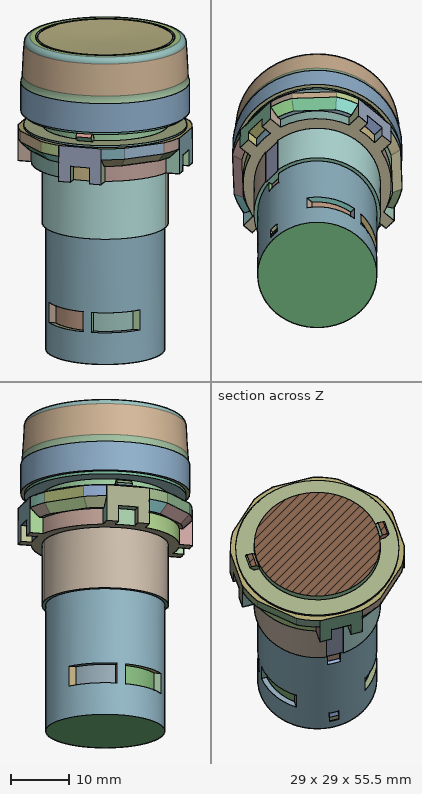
import cadquery as cq
import math

total_height = 55.5
head_diameter = 29.0

barrel_diameter = 20.5
thread_diameter = 21.7
thread_bottom = 22.5

nut_bottom = 33.3
nut_top = 39.7
nut_hub_diameter = 25.4
nut_corner_diameter = 29.85
nut_diagonal_flats = 28.85
nut_rim_height = 1.95
nut_bevel = 1.6
washer_diameter = 28.0
washer_thickness = 0.35
lug_width = 7.6
lug_slot_width = 3.45
lug_slot_height = 2.85

rim_bottom = 41.95
rim_diameter = 27.8
band_bottom = 42.45
band_top = 47.6
bezel_bottom = 48.9
bezel_bottom_radius = 14.25
bezel_top_radius = 13.95
flare_sag = 0.085
bezel_bulge = 0.05
top_edge_radius = 1.0

groove_outer_diameter = 24.0
groove_width = 0.4
groove_depth = 0.2
lens_dish_depth = 0.45

prong_width = 2.7
prong_thickness = 1.05
prong_length = 3.35
prong_tilt = 50.0
prong_tip_radius = 12.05
prong_tip_height = 41.25

keyway_width = 3.0
keyway_floor_radius = 10.6
latch_slot_width = 2.35
latch_slot_bottom = 19.3
latch_slot_floor_radius = 9.55
window_bottom = 5.65
window_height = 3.55
window_floor_diameter = 18.6
window_side_offset = 6.15
window_half_gap = 0.8
notch_width = 1.65
notch_bottom = 1.95
notch_step = 3.0
notch_top = 4.45
notch_step_radius = 10.1
notch_floor_radius = 9.55


def cylinder(diameter, bottom, top):
    return cq.Workplane("XY").workplane(offset=bottom).circle(diameter / 2).extrude(top - bottom)


def box(x_range, y_range, z_range):
    """Axis-aligned box given by its limits along each axis."""
    (x0, x1), (y0, y1), (z0, z1) = x_range, y_range, z_range
    return cq.Workplane("XY").box(x1 - x0, y1 - y0, z1 - z0, centered=False).translate((x0, y0, z0))


def make_head():
    """Turned head with its neck passing down into the nut."""
    neck_radius = thread_diameter / 2
    band_radius = head_diameter / 2
    rim_radius = rim_diameter / 2
    groove_outer = groove_outer_diameter / 2
    groove_inner = groove_outer - groove_width
    bezel_top = total_height - top_edge_radius
    top_land_radius = bezel_top_radius - top_edge_radius
    edge_offset = top_edge_radius * math.sin(math.pi / 4)
    flare_middle = ((band_radius + bezel_bottom_radius) / 2 - flare_sag, (band_top + bezel_bottom) / 2)
    bezel_middle = (
        (bezel_bottom_radius + bezel_top_radius) / 2 + bezel_bulge,
        (bezel_bottom + bezel_top) / 2,
    )
    edge_middle = (top_land_radius + edge_offset, bezel_top + edge_offset)
    return (
        cq.Workplane("XZ")
        .moveTo(0, nut_bottom)
        .lineTo(neck_radius, nut_bottom)
        .lineTo(neck_radius, rim_bottom)
        .lineTo(rim_radius, rim_bottom)
        .lineTo(rim_radius, band_bottom)
        .lineTo(band_radius, band_bottom)
        .lineTo(band_radius, band_top)
        .threePointArc(flare_middle, (bezel_bottom_radius, bezel_bottom))
        .threePointArc(bezel_middle, (bezel_top_radius, bezel_top))
        .threePointArc(edge_middle, (top_land_radius, total_height))
        .lineTo(groove_outer, total_height)
        .lineTo((groove_outer + groove_inner) / 2, total_height - groove_depth)
        .lineTo(groove_inner, total_height)
        .lineTo(0, total_height - lens_dish_depth)
        .close()
        .revolve(360, (0, 0, 0), (0, 1, 0))
    )


def make_nut():
    """Eight-flatted nut with a bevelled underside, a hub and four slotted lugs."""
    rim_start = nut_top - nut_rim_height
    bevel_start = rim_start - nut_bevel
    corner_radius = nut_corner_diameter / 2
    bevel_radius = corner_radius - nut_bevel
    plate = (
        cq.Workplane("XZ")
        .polyline([
            (0, bevel_start),
            (bevel_radius, bevel_start),
            (corner_radius, rim_start),
            (corner_radius, nut_top),
            (0, nut_top),
        ])
        .close()
        .revolve(360, (0, 0, 0), (0, 1, 0))
    )
    flats_height = nut_top - bevel_start
    for across_flats, turn in ((head_diameter, 0), (nut_diagonal_flats, 45)):
        flats = (
            cq.Workplane("XY")
            .workplane(offset=bevel_start)
            .rect(across_flats, across_flats)
            .extrude(flats_height)
            .faces("<Z")
            .edges()
            .chamfer(nut_bevel)
            .rotate((0, 0, 0), (0, 0, 1), turn)
        )
        plate = plate.intersect(flats)

    half_width = head_diameter / 2
    lug_inner = thread_diameter / 2
    lug = box((-half_width, -lug_inner), (-lug_width / 2, lug_width / 2), (nut_bottom, nut_top))
    slot = box(
        (-half_width, -lug_inner),
        (-lug_slot_width / 2, lug_slot_width / 2),
        (nut_bottom, nut_bottom + lug_slot_height),
    )
    lug = lug.cut(slot)
    nut = plate
    for turn in range(0, 360, 90):
        nut = nut.union(lug.rotate((0, 0, 0), (0, 0, 1), turn))
    hub = cylinder(nut_hub_diameter, nut_bottom, nut_top)
    washer = cylinder(washer_diameter, nut_top, nut_top + washer_thickness)
    return nut.union(hub).union(washer)


def make_prong(side):
    """Tilted prong on the -Y (side = -1) or +Y (side = 1) face of the neck."""
    bar = box(
        (-prong_width / 2, prong_width / 2),
        (-prong_length, 0),
        (-prong_thickness / 2, prong_thickness / 2),
    )
    bar = bar.rotate((0, 0, 0), (1, 0, 0), prong_tilt).translate((0, prong_tip_radius, prong_tip_height))
    return bar if side > 0 else bar.mirror("XZ")


def make_window(x_side, y_side):
    """Arc-shaped window on one quarter of the barrel."""
    outer = barrel_diameter / 2
    window_top = window_bottom + window_height
    ring = cylinder(barrel_diameter, window_bottom, window_top)
    ring = ring.cut(cylinder(window_floor_diameter, window_bottom, window_top))
    quarter = box((window_half_gap, outer), (window_side_offset, outer), (window_bottom, window_top))
    if x_side < 0:
        quarter = quarter.mirror("YZ")
    if y_side < 0:
        quarter = quarter.mirror("XZ")
    return ring.intersect(quarter)


def make_notch():
    """Wedge-shaped notch on the -X side, deepest at its top."""
    outside = -head_diameter / 2
    return (
        cq.Workplane("XZ")
        .polyline([
            (outside, notch_bottom),
            (-notch_step_radius, notch_bottom),
            (-notch_step_radius, notch_step),
            (-notch_floor_radius, notch_top),
            (outside, notch_top),
        ])
        .close()
        .extrude(notch_width / 2, both=True)
    )


barrel = cylinder(barrel_diameter, 0, thread_bottom)
for x_side in (-1, 1):
    for y_side in (-1, 1):
        barrel = barrel.cut(make_window(x_side, y_side))
latch_slot = box(
    (-barrel_diameter / 2, -latch_slot_floor_radius),
    (-latch_slot_width / 2, latch_slot_width / 2),
    (latch_slot_bottom, thread_bottom),
)
barrel = barrel.cut(latch_slot).cut(make_notch())

thread = cylinder(thread_diameter, thread_bottom, nut_bottom)
keyway = box(
    (-thread_diameter / 2, -keyway_floor_radius),
    (-keyway_width / 2, keyway_width / 2),
    (thread_bottom, nut_bottom),
)
thread = thread.cut(keyway)

result = barrel.union(thread).union(make_nut()).union(make_head())
for side in (-1, 1):
    result = result.union(make_prong(side))